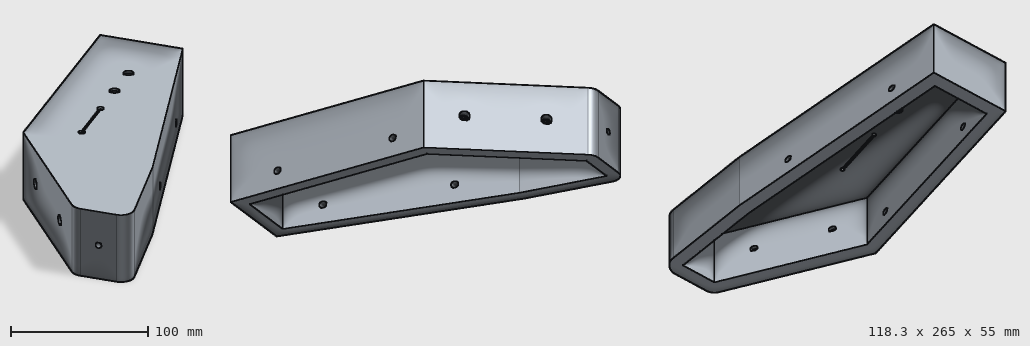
import cadquery as cq
import math

HEIGHT = 55.0
LENGTH = 265.0
BACK_WIDTH = 64.0

LEFT_CORNER_Y = 100.0
SLANT_ANGLE = 53.0
NOSE_LEFT_X = LEFT_CORNER_Y / math.tan(math.radians(SLANT_ANGLE))
NOSE_RIGHT_X = 120.0
KINK_X = 107.5
KINK_Y = 80.0
NOSE_RADIUS = 10.0

WALL = 10.0
TOP_WALL = 2.0

TOP_LINE_X = 40.0
TOP_HOLE_DIAMETER = 7.5
TOP_HOLE_YS = (185.0, 215.0)
SLOT_END_YS = (115.0, 155.0)
SLOT_WIDTH = 1.5
SLOT_END_DIAMETER = 2.7
SLOT_SINK_DIAMETER = 5.0
SINK_ANGLE = 90.0

SIDE_HOLE_DIAMETER = 5.5
SIDE_HOLE_YS = (126.5, 225.0)
SIDE_HOLE_Z = 15.0

SLANT_HOLE_DISTANCES = (30.0, 90.0)
SLANT_HOLE_DIAMETER = 5.5
SLANT_BORE_DIAMETER = 7.75
SLANT_BORE_DEPTH = 7.0

NOSE_HOLE_X = 94.5
NOSE_HOLE_DIAMETER = 3.2
NOSE_BORE_DIAMETER = 4.5
NOSE_BORE_DEPTH = 7.0

MID_Z = HEIGHT / 2


def rod(start, direction, diameter, length):
    """Cylinder from a start point along a direction."""
    return cq.Solid.makeCylinder(diameter / 2, length, cq.Vector(*start), cq.Vector(*direction))


def plan_outline():
    """Plan outline with sharp corners."""
    return cq.Workplane("XY").polyline([
        (0, LENGTH),
        (0, LEFT_CORNER_Y),
        (NOSE_LEFT_X, 0),
        (NOSE_RIGHT_X, 0),
        (KINK_X, KINK_Y),
        (BACK_WIDTH, LENGTH),
    ]).close()


def make_shell():
    """Block with rounded nose corners, hollowed from the bottom with an even wall."""
    block = plan_outline().extrude(HEIGHT).faces("<Y").edges("|Z").fillet(NOSE_RADIUS)
    cavity = plan_outline().offset2D(-WALL, "intersection").extrude(HEIGHT - TOP_WALL)
    return block.cut(cavity)


def cut_top_holes(body):
    """Plain holes through the top wall."""
    for y in TOP_HOLE_YS:
        body = body.cut(rod((TOP_LINE_X, y, 0), (0, 0, 1), TOP_HOLE_DIAMETER, HEIGHT))
    return body


def cut_slot(body):
    """Narrow slot joining two countersunk holes."""
    slot_start, slot_end = SLOT_END_YS
    slot = cq.Workplane("XY").box(SLOT_WIDTH, slot_end - slot_start, HEIGHT, centered=(True, False, False))
    body = body.cut(slot.translate((TOP_LINE_X, slot_start, 0)))
    sink_depth = (SLOT_SINK_DIAMETER / 2) / math.tan(math.radians(SINK_ANGLE / 2))
    for y in SLOT_END_YS:
        body = body.cut(rod((TOP_LINE_X, y, 0), (0, 0, 1), SLOT_END_DIAMETER, HEIGHT))
        sink_tip = cq.Vector(TOP_LINE_X, y, HEIGHT - sink_depth)
        body = body.cut(cq.Solid.makeCone(0, SLOT_SINK_DIAMETER / 2, sink_depth, sink_tip, cq.Vector(0, 0, 1)))
    return body


def cut_side_holes(body):
    """Holes through both long walls."""
    for y in SIDE_HOLE_YS:
        body = body.cut(rod((0, y, SIDE_HOLE_Z), (1, 0, 0), SIDE_HOLE_DIAMETER, NOSE_RIGHT_X))
    return body


def cut_slant_holes(body):
    """Counterbored holes through the slanted wall only."""
    face_length = math.hypot(NOSE_LEFT_X, LEFT_CORNER_Y)
    inward = (LEFT_CORNER_Y / face_length, NOSE_LEFT_X / face_length, 0)
    for distance in SLANT_HOLE_DISTANCES:
        fraction = distance / face_length
        start = (NOSE_LEFT_X * fraction, LEFT_CORNER_Y * (1 - fraction), MID_Z)
        body = body.cut(rod(start, inward, SLANT_BORE_DIAMETER, SLANT_BORE_DEPTH))
        body = body.cut(rod(start, inward, SLANT_HOLE_DIAMETER, WALL))
    return body


def cut_nose_hole(body):
    """Counterbored hole through the nose wall."""
    start = (NOSE_HOLE_X, 0, MID_Z)
    inward = (0, 1, 0)
    body = body.cut(rod(start, inward, NOSE_BORE_DIAMETER, NOSE_BORE_DEPTH))
    return body.cut(rod(start, inward, NOSE_HOLE_DIAMETER, WALL))


result = make_shell()
result = cut_top_holes(result)
result = cut_slot(result)
result = cut_side_holes(result)
result = cut_slant_holes(result)
result = cut_nose_hole(result)